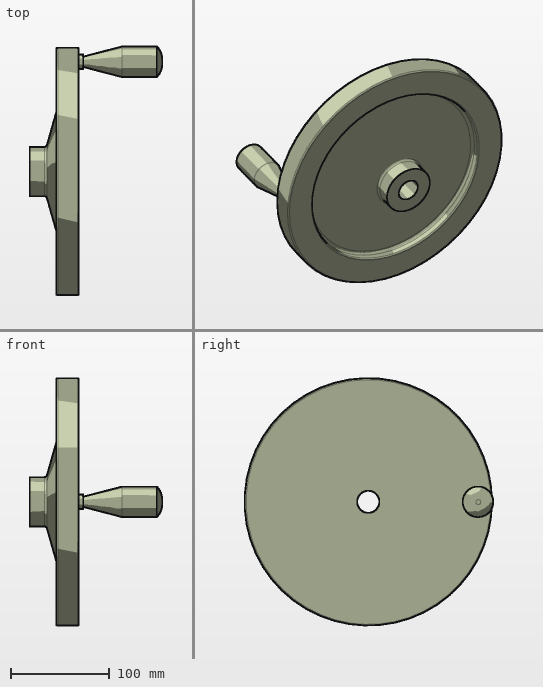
import cadquery as cq
import math

wheel_radius = 250.0 / 2
dish_radius = 192.6 / 2
hub_radius = 50.0 / 2
bore_diameter = 22.0
rim_front = 26.5
rim_width = 23.0
rim_back = rim_front + rim_width
cone_at_hub = 16.8
cone_angle = 15.9
rim_round = 1.5
hub_fillet = 2.5
dish_fillet = 2.5

handle_offset = 110.8
collar_radius = 14.8 / 2
collar_length = 4.3
neck_radius = 10.5 / 2
taper_length = 39.0
grip_radius = 31.0 / 2
grip_length = 35.5
end_flat_radius = 2.5
handle_end = 133.9


def revolve_about_x(profile):
    """Revolve a closed (x, radius) profile about the X axis."""
    return profile.revolve(360, (0, 0, 0), (1, 0, 0))


def edges_at(body, x, radius):
    """Select the circular edge at the given X and radius about the X axis."""
    tol = 0.03
    low, high = (x - tol, -radius - tol, -radius - tol), (x + tol, radius + tol, radius + tol)
    ring = cq.selectors.BoxSelector(low, high, boundingbox=True)
    return body.edges(ring).edges(cq.selectors.RadiusNthSelector(-1))


def make_wheel():
    """Flat-backed wheel with a raised hub, a conical web and a thick rim."""
    cone_depth = (dish_radius - hub_radius) * math.tan(math.radians(cone_angle))
    cone_at_rim = cone_at_hub + cone_depth
    wheel = revolve_about_x(
        cq.Workplane("XY")
        .moveTo(0, 0)
        .lineTo(0, hub_radius)
        .lineTo(cone_at_hub, hub_radius)
        .lineTo(cone_at_rim, dish_radius)
        .lineTo(rim_front, dish_radius)
        .lineTo(rim_front, wheel_radius)
        .lineTo(rim_back, wheel_radius)
        .lineTo(rim_back, 0)
        .close()
    )
    wheel = edges_at(wheel, cone_at_hub, hub_radius).fillet(hub_fillet)
    wheel = edges_at(wheel, cone_at_rim, dish_radius).fillet(dish_fillet)
    for x, radius in (
        (rim_front, dish_radius),
        (rim_front, wheel_radius),
        (rim_back, wheel_radius),
    ):
        wheel = edges_at(wheel, x, radius).fillet(rim_round)
    bore = cq.Workplane("YZ").circle(bore_diameter / 2).extrude(rim_back)
    return wheel.cut(bore)


def make_handle():
    """Collar, tapered neck and cylindrical grip with a crowned end."""
    taper_start = rim_back + collar_length
    grip_start = taper_start + taper_length
    crown_start = grip_start + grip_length
    crown_height = handle_end - crown_start
    crown_width = grip_radius - end_flat_radius
    crown_radius = (crown_width**2 + crown_height**2) / (2 * crown_height)
    mid_width = crown_width / 2
    mid_x = handle_end - crown_radius + math.sqrt(crown_radius**2 - mid_width**2)
    handle = revolve_about_x(
        cq.Workplane("XY")
        .moveTo(rim_back, 0)
        .lineTo(rim_back, collar_radius)
        .lineTo(taper_start, collar_radius)
        .lineTo(taper_start, neck_radius)
        .lineTo(grip_start, grip_radius)
        .lineTo(crown_start, grip_radius)
        .threePointArc((mid_x, end_flat_radius + mid_width), (handle_end, end_flat_radius))
        .lineTo(handle_end, 0)
        .close()
    )
    return handle.translate((0, handle_offset, 0))


result = make_wheel().union(make_handle())